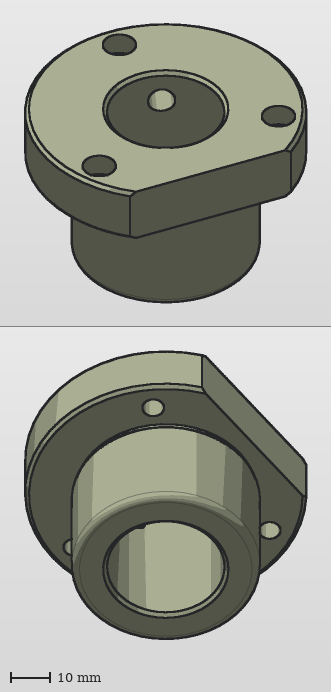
import cadquery as cq

flange_diameter = 71.9
flange_height = 15.0
flat_distance = 28.05
flange_chamfer = 1.0

total_height = 45.0
spigot_diameter = 48.1
spigot_end_radius = 2.0
groove_diameter = 46.8
groove_height = 1.3
groove_edge_chamfer = 0.65

bore_diameter = 30.0
bore_chamfer = 1.0

screw_circle_radius = 29.0
screw_count = 3
first_screw_angle = 60
screw_diameter = 5.55
counterbore_diameter = 8.5
counterbore_depth = 6.0

side_hole_diameter = 7.0
side_hole_angle = 160
side_hole_drop = 8.9

flange_bottom = total_height - flange_height
spigot_height = flange_bottom - groove_height


def make_flange():
    """Chamfered disc cut flat on its +X side."""
    disc = (
        cq.Workplane("XY", origin=(0, 0, flange_bottom))
        .circle(flange_diameter / 2)
        .extrude(flange_height)
        .edges()
        .chamfer(flange_chamfer)
    )
    beyond_flat = cq.Workplane("XY", origin=(flat_distance, 0, 0)).box(
        flange_diameter, flange_diameter, total_height, centered=(False, True, False)
    )
    return disc.cut(beyond_flat)


def make_spigot():
    """Cylinder with a rounded lower end and a relief groove under the flange."""
    body = (
        cq.Workplane("XY")
        .circle(spigot_diameter / 2)
        .extrude(spigot_height)
        .faces("<Z")
        .edges()
        .fillet(spigot_end_radius)
        .faces(">Z")
        .edges()
        .chamfer(groove_edge_chamfer)
    )
    neck = (
        cq.Workplane("XY", origin=(0, 0, spigot_height))
        .circle(groove_diameter / 2)
        .extrude(groove_height)
    )
    return body.union(neck)


def make_bore():
    """Through bore with a chamfered mouth at each end."""
    radius = bore_diameter / 2
    mouth_radius = radius + bore_chamfer
    return (
        cq.Workplane("XZ")
        .lineTo(mouth_radius, 0)
        .lineTo(radius, bore_chamfer)
        .lineTo(radius, total_height - bore_chamfer)
        .lineTo(mouth_radius, total_height)
        .lineTo(0, total_height)
        .close()
        .revolve(360, (0, 0, 0), (0, 1, 0))
    )


def cut_screw_holes(part):
    """Equally spaced holes counterbored from the flange top."""
    return (
        cq.Workplane("XY", origin=(0, 0, total_height))
        .add(part)
        .polarArray(screw_circle_radius, first_screw_angle, 360, screw_count)
        .cboreHole(screw_diameter, counterbore_diameter, counterbore_depth, flange_height)
    )


def make_side_hole():
    """Radial hole running from the bore out through the rim."""
    return (
        cq.Workplane("YZ", origin=(0, 0, total_height - side_hole_drop))
        .circle(side_hole_diameter / 2)
        .extrude(flange_diameter)
        .rotate((0, 0, 0), (0, 0, 1), side_hole_angle)
    )


result = make_flange().union(make_spigot()).cut(make_bore())
result = cut_screw_holes(result).cut(make_side_hole())